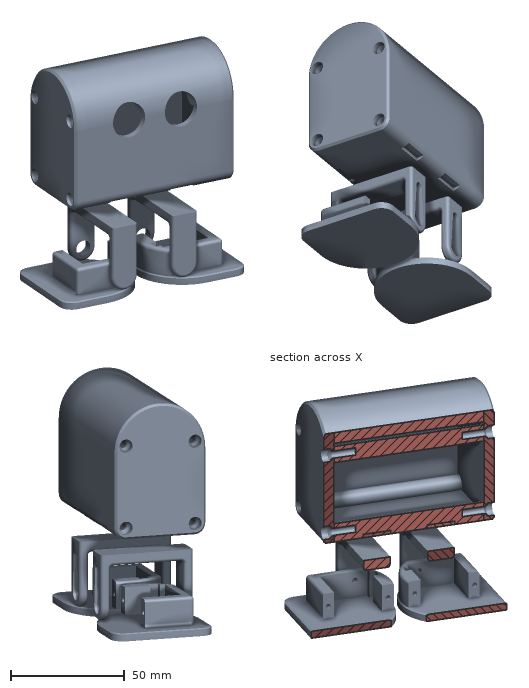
import cadquery as cq
import math

housing_width = 42.0
housing_height = 60.0
housing_length = 80.0
housing_bottom = 44.5
bottom_corner_radius = 5.0
wall = 3.0
dome_radius = housing_width / 2
dome_center_z = housing_bottom + housing_height - dome_radius

cover_thickness = 5.0
cover_chamfer = 1.0
screw_x = dome_radius - bottom_corner_radius
screw_low_z = housing_bottom + bottom_corner_radius
screw_spacing_z = 37.0
screw_rows = (screw_low_z, screw_low_z + screw_spacing_z)
screw_points = [(x, z) for x in (-screw_x, screw_x) for z in screw_rows]
screw_diameter = 3.3
screw_head_diameter = 6.0
screw_head_depth = 3.0
countersink_diameter = 5.8
pilot_diameter = 3.2
pilot_depth = 10.0
post_diameter = 8.0

window_diameter = 16.1
window_spacing = 26.0

bracket_spacing = 30.0
bracket_places = (-bracket_spacing / 2, bracket_spacing / 2)
bracket_length_x = 42.6
bracket_width = 12.5
bracket_leg = 4.15
bracket_plate = 5.0
bracket_edge_radius = 1.5
bracket_inner_radius = 1.5
pivot_to_bracket_top = 24.0
horn_hub_diameter = 7.0
horn_tip_diameter = 4.4
horn_length = 16.3
horn_recess_depth = 2.5
selection_margin = 0.1

plate_thickness = 1.6
plate_length_x = 2 * screw_x

foot_width = 46.6
foot_thickness = 3.5
foot_outer_y = 45.8
foot_round_center_y = 25.0
foot_corner_radius = 6.0
foot_rim_inset = 0.8
foot_rim_drop = 0.4
holder_height = 12.5
holder_inset = 0.75
holder_x_min = -6.2
holder_x_max = 16.8
holder_edge_radius = 1.5
holder_outer_y = 36.6
bay_outer_y = 31.5
bay_inner_y = 9.0
bay_x_max = 12.3
slot_x_min = 5.5
slot_x_max = 10.0
slot_depth = 2.75
servo_hole_diameter = 2.2
servo_hole_spacing = 28.0
servo_hole_depth = 12.0
wire_hole_diameter = 2.5
wire_hole_z = 11.75

foot_radius = foot_width / 2
pivot_z = foot_thickness + bracket_width / 2
bracket_top = pivot_z + pivot_to_bracket_top


def box(x, y, z):
    """Box from its (low, high) limits along each axis."""
    size = (x[1] - x[0], y[1] - y[0], z[1] - z[0])
    return cq.Workplane("XY").box(*size, centered=False).translate((x[0], y[0], z[0]))


def rod(axis, diameter, start, length):
    """Cylinder that starts at a point and runs along a direction."""
    return cq.Workplane(cq.Solid.makeCylinder(diameter / 2, length, cq.Vector(*start), cq.Vector(*axis)))


def tunnel(y_start, length, inset=0.0):
    """Housing profile, shrunk by an inset, extruded toward +Y."""
    half = dome_radius - inset
    floor = housing_bottom + inset
    return (
        cq.Workplane("XZ", origin=(0, y_start, 0))
        .moveTo(-half, floor)
        .lineTo(half, floor)
        .lineTo(half, dome_center_z)
        .threePointArc((0, dome_center_z + half), (-half, dome_center_z))
        .close()
        .extrude(-length)
        .edges("|Y and <Z")
        .fillet(bottom_corner_radius - inset)
    )


def bottom_strip(y, length_x):
    """Flat bar along X in the housing bottom, as wide in Y as the bracket below it."""
    return box(
        (-length_x / 2, length_x / 2),
        (y - bracket_width / 2, y + bracket_width / 2),
        (housing_bottom, housing_bottom + plate_thickness),
    )


def make_housing():
    """Tube with a screw post at each screw, sensor windows and bottom recesses."""
    tube_length = housing_length - 2 * cover_thickness
    tube_start = -tube_length / 2
    outside = tunnel(tube_start, tube_length)
    body = outside.cut(tunnel(tube_start, tube_length, wall))
    for x, z in screw_points:
        post = rod((0, 1, 0), post_diameter, (x, tube_start, z), tube_length)
        body = body.union(post.intersect(outside))
    for x, z in screw_points:
        for side in (-1, 1):
            pilot_start = (x, side * tube_length / 2, z)
            body = body.cut(rod((0, -side, 0), pilot_diameter, pilot_start, pilot_depth))
    for y in (-window_spacing / 2, window_spacing / 2):
        body = body.cut(rod((1, 0, 0), window_diameter, (0, y, dome_center_z), housing_width))
    for y in bracket_places:
        body = body.cut(bottom_strip(y, housing_width))
    return body


def make_cover():
    """Front cover with a chamfered rim and four countersunk screw holes."""
    front = -housing_length / 2
    cover = tunnel(front, cover_thickness).faces("<Y").chamfer(cover_chamfer)
    sink_depth = (countersink_diameter - screw_diameter) / 2
    for x, z in screw_points:
        cover = cover.cut(rod((0, 1, 0), screw_diameter, (x, front, z), cover_thickness))
        cover = cover.cut(rod((0, 1, 0), screw_head_diameter, (x, front, z), screw_head_depth))
        sink = cq.Solid.makeCone(
            countersink_diameter / 2,
            screw_diameter / 2,
            sink_depth,
            cq.Vector(x, front + screw_head_depth, z),
            cq.Vector(0, 1, 0),
        )
        cover = cover.cut(cq.Workplane(sink))
    return cover


def make_bracket(y):
    """Servo bracket with a horn-shaped recess in its -X leg."""
    half = bracket_length_x / 2
    inner = half - bracket_leg
    plate_bottom = bracket_top - bracket_plate
    block = (
        cq.Workplane("YZ", origin=(-half, y, pivot_z))
        .moveTo(-bracket_width / 2, pivot_to_bracket_top)
        .lineTo(-bracket_width / 2, 0)
        .threePointArc((0, -bracket_width / 2), (bracket_width / 2, 0))
        .lineTo(bracket_width / 2, pivot_to_bracket_top)
        .close()
        .extrude(bracket_length_x)
        .faces("<X or >X")
        .edges("not >Z")
        .fillet(bracket_edge_radius)
    )
    y_range = (y - bracket_width, y + bracket_width)
    opening = box((-inner, inner), y_range, (0, plate_bottom))
    opening = opening.edges("|Y and >Z").fillet(bracket_inner_radius)
    bracket = block.cut(opening)
    opening_edges = cq.selectors.BoxSelector(
        (-inner - selection_margin, y_range[0], 0),
        (inner + selection_margin, y_range[1], plate_bottom + selection_margin),
        boundingbox=True,
    )
    bracket = bracket.edges(opening_edges).edges("not |Y").fillet(bracket_edge_radius)
    bracket = bracket.cut(rod((1, 0, 0), horn_hub_diameter, (-half, y, pivot_z), bracket_leg))
    return bracket.cut(make_horn(-half, y))


def make_horn(x, y):
    """Tapered horn: the hull of a large hub circle and a small tip circle above it."""
    hub = horn_hub_diameter / 2
    tip = horn_tip_diameter / 2
    tilt = math.asin((hub - tip) / horn_length)
    across, up = math.cos(tilt), math.sin(tilt)
    return (
        cq.Workplane("YZ", origin=(x, y, pivot_z))
        .moveTo(hub * across, hub * up)
        .lineTo(tip * across, horn_length + tip * up)
        .threePointArc((0, horn_length + tip), (-tip * across, horn_length + tip * up))
        .lineTo(-hub * across, hub * up)
        .threePointArc((0, -hub), (hub * across, hub * up))
        .close()
        .extrude(horn_recess_depth)
    )


def make_foot():
    """Foot on the -Y side: rounded plate with a three-sided servo holder."""
    plate = (
        cq.Workplane("XY")
        .moveTo(-foot_radius, -foot_outer_y)
        .lineTo(foot_radius, -foot_outer_y)
        .lineTo(foot_radius, -foot_round_center_y)
        .threePointArc((0, foot_radius - foot_round_center_y), (-foot_radius, -foot_round_center_y))
        .close()
        .extrude(foot_thickness)
        .edges("|Z and <Y")
        .fillet(foot_corner_radius)
        .faces(">Z")
        .chamfer(foot_rim_drop, foot_rim_inset)
    )
    holder_top = foot_thickness + holder_height
    heights = (foot_thickness, holder_top)
    holder = box((holder_x_min, holder_x_max), (-holder_outer_y, 0), heights)
    end_round = rod(
        (0, 0, 1),
        2 * (foot_radius - holder_inset),
        (0, -foot_round_center_y, foot_thickness),
        holder_height,
    )
    straight_part = box(
        (-foot_radius, foot_radius), (-foot_outer_y, -foot_round_center_y), heights
    )
    holder = holder.intersect(end_round.union(straight_part))
    holder = holder.edges("|Z and >X and <Y").fillet(holder_edge_radius)
    holder = holder.faces(">Z").edges("not <X").fillet(holder_edge_radius)
    holder = holder.cut(box((holder_x_min, bay_x_max), (-bay_outer_y, -bay_inner_y), heights))
    slot_y = (-bay_inner_y, -bay_inner_y + slot_depth)
    holder = holder.cut(box((slot_x_min, slot_x_max), slot_y, heights))
    foot = plate.union(holder).union(make_foot_weld())
    bay_middle_y = -(bay_outer_y + bay_inner_y) / 2
    for side in (-1, 1):
        hole_y = bay_middle_y + side * servo_hole_spacing / 2
        start = (holder_x_min, hole_y, pivot_z)
        foot = foot.cut(rod((1, 0, 0), servo_hole_diameter, start, servo_hole_depth))
    wire_start = (bay_x_max, -bracket_spacing / 2, wire_hole_z)
    return foot.cut(rod((1, 0, 0), wire_hole_diameter, wire_start, holder_x_max - bay_x_max))


def make_foot_weld():
    """Concave fillet along the foot of the holder's outer wall, short of its rounded corner."""
    r = holder_edge_radius
    middle = r - r * math.sqrt(0.5)
    return (
        cq.Workplane("YZ", origin=(holder_x_min, -holder_outer_y, foot_thickness))
        .lineTo(-r, 0)
        .threePointArc((-middle, middle), (0, r))
        .close()
        .extrude(holder_x_max - r - holder_x_min)
    )


housing = make_housing()
front_cover = make_cover()
rear_cover = front_cover.mirror("XZ")
front_foot = make_foot()
rear_foot = front_foot.mirror("XZ")
plates = []
brackets = []
for bracket_y in bracket_places:
    plates.append(bottom_strip(bracket_y, plate_length_x).val())
    brackets.append(make_bracket(bracket_y).val())

result = cq.Compound.makeCompound(
    [
        housing.val(),
        front_cover.val(),
        rear_cover.val(),
        *plates,
        *brackets,
        front_foot.val(),
        rear_foot.val(),
    ]
)